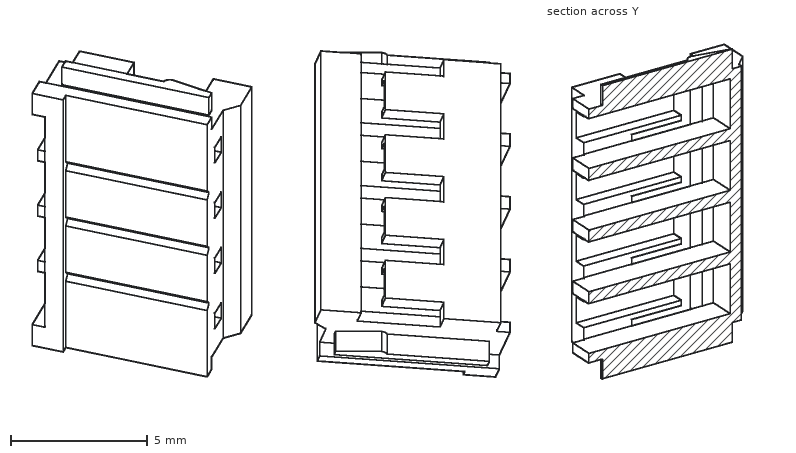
import cadquery as cq


contact_count = 4
pitch = 2.5
cavity_width = 2.0
cavity_floor_y = 0.6
cavity_roof_y = 3.0
cavity_end_x = 6.2
pin_hole_size = 0.7
pin_hole_y = 1.5

overall_depth = 7.2
thickness = 3.8
body_height = 10.3
lip_overhang = 0.5
mouth_setback = 0.5
body_end_x = overall_depth - lip_overhang
back_lip_y = 2.06
back_wall_y = 2.96

plate_height = 11.4
plate_thickness = 0.8
rim_width = 1.2
rim_step = 0.3
groove_depth = 0.2

latch_start_x = 2.62
gap_start_x = 4.8
gap_end_x = 5.7
latch_width = 1.5
slot_width = 1.06
slot_depth = 0.5

rail_span = 11.9
rail_start_x = 0.6
rail_end_x = 6.31
rail_low_y = 1.6
rail_high_y = 2.0
rail_end_y = 1.9
bump_start_x = 4.4
bump_top_x = 4.64
bump_top_y = 2.2
bump_bulge = 0.04

contact_span = (contact_count - 1) * pitch
contact_centres = [i * pitch - contact_span / 2 for i in range(contact_count)]
divider_centres = [z + pitch / 2 for z in contact_centres[:-1]]
mouth_height = contact_span + cavity_width


def box(x_range, y_range, height, z_centre=0.0):
    """Box between two X and two Y positions, centred at a height along Z."""
    x0, x1 = x_range
    y0, y1 = y_range
    centre = ((x0 + x1) / 2, (y0 + y1) / 2, z_centre)
    return cq.Workplane("XY").box(x1 - x0, y1 - y0, height).translate(centre)


def extrude_along_z(profile, height):
    """Extrude an XY profile equally to both sides of Z = 0."""
    return profile.extrude(height / 2, both=True)


def main_body():
    """Block with a rear lip that overhangs the far end on a 45 degree slope."""
    profile = (
        cq.Workplane("XY")
        .moveTo(0, plate_thickness)
        .lineTo(body_end_x, plate_thickness)
        .lineTo(body_end_x, back_lip_y)
        .lineTo(overall_depth, back_lip_y + lip_overhang)
        .lineTo(overall_depth, thickness)
        .lineTo(mouth_setback, thickness)
        .lineTo(mouth_setback, back_wall_y)
        .lineTo(0, back_wall_y)
        .close()
    )
    return extrude_along_z(profile, body_height)


def front_plate():
    """Wide plate with a raised rim at the mouth."""
    rim = box((0, rim_width), (0, plate_thickness), plate_height)
    plate = box((0, body_end_x), (rim_step, plate_thickness), plate_height)
    return rim.union(plate)


def side_rails():
    """Rails on both ends of the row, each with a rounded snap bump."""
    profile = (
        cq.Workplane("XY")
        .moveTo(rail_start_x, rail_low_y)
        .lineTo(rail_end_x, rail_low_y)
        .lineTo(rail_end_x, rail_end_y)
        .lineTo(bump_top_x, bump_top_y)
        .sagittaArc((bump_start_x, rail_high_y), -bump_bulge)
        .lineTo(rail_start_x, rail_high_y)
        .close()
    )
    return extrude_along_z(profile, rail_span)


def contact_cavity(z):
    """Cavity, latch slot in its roof and square pin hole through its end."""
    half_hole = pin_hole_size / 2
    hole_y = (pin_hole_y - half_hole, pin_hole_y + half_hole)
    cavity = box((0, cavity_end_x), (cavity_floor_y, cavity_roof_y), cavity_width, z)
    slot = box((0, gap_start_x), (cavity_roof_y, cavity_roof_y + slot_depth), slot_width, z)
    hole = box((cavity_end_x, body_end_x), hole_y, pin_hole_size, z)
    return cavity.union(slot).union(hole)


def front_groove(z):
    """V groove with 45 degree sides across the front plate behind the rim."""
    return (
        cq.Workplane("YZ", origin=(rim_width, 0, 0))
        .moveTo(rim_step, z - groove_depth)
        .lineTo(rim_step + groove_depth, z)
        .lineTo(rim_step, z + groove_depth)
        .close()
        .extrude(body_end_x - rim_width)
    )


def rear_wall_relief():
    """Clearance in the rear wall that leaves a latch tongue over each contact."""
    wall_y = (cavity_roof_y, thickness)
    relief = box((latch_start_x, gap_end_x), wall_y, body_height)
    for z in contact_centres:
        relief = relief.cut(box((latch_start_x, gap_start_x), wall_y, latch_width, z))
    return relief


result = main_body().union(front_plate()).union(side_rails())
for centre_z in contact_centres:
    result = result.cut(contact_cavity(centre_z))
for centre_z in divider_centres:
    result = result.cut(front_groove(centre_z))
result = result.cut(rear_wall_relief())

result = result.cut(box((0, mouth_setback), (0, cavity_floor_y), mouth_height))